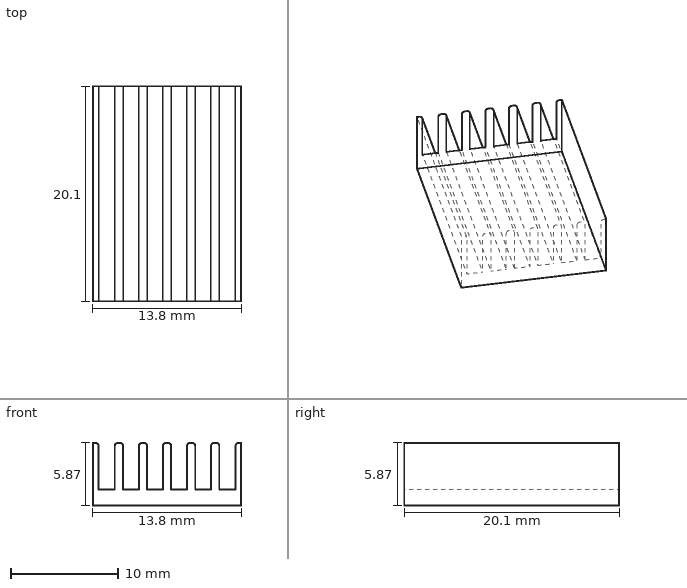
import cadquery as cq

WIDTH = 13.84
LENGTH = 20.087
HEIGHT = 5.87

BASE_THICKNESS = 1.52
INNER_FIN_COUNT = 5
FIN_PITCH = 2.248
INNER_FIN_THICKNESS = 0.785
OUTER_FIN_THICKNESS = 0.53
TIP_RADIUS = 0.29

FIN_HEIGHT = HEIGHT - BASE_THICKNESS


def make_block(x_min, thickness, z_min, height):
    """Full-length block spanning x_min to x_min + thickness, standing on z_min."""
    block = cq.Workplane("XY").box(thickness, LENGTH, height, centered=(False, True, False))
    return block.translate((x_min, 0, z_min))


def make_fin(x_min, thickness, rounded_edges):
    """Fin standing on the base, with the selected top edges rounded."""
    fin = make_block(x_min, thickness, BASE_THICKNESS, FIN_HEIGHT)
    return fin.faces(">Z").edges(rounded_edges).fillet(TIP_RADIUS)


result = make_block(-WIDTH / 2, WIDTH, 0, BASE_THICKNESS)

for index in range(INNER_FIN_COUNT):
    fin_center = (index - (INNER_FIN_COUNT - 1) / 2) * FIN_PITCH
    fin_start = fin_center - INNER_FIN_THICKNESS / 2
    result = result.union(make_fin(fin_start, INNER_FIN_THICKNESS, "|Y"))

left_fin = make_fin(-WIDTH / 2, OUTER_FIN_THICKNESS, ">X")
right_fin = make_fin(WIDTH / 2 - OUTER_FIN_THICKNESS, OUTER_FIN_THICKNESS, "<X")
result = result.union(left_fin).union(right_fin)